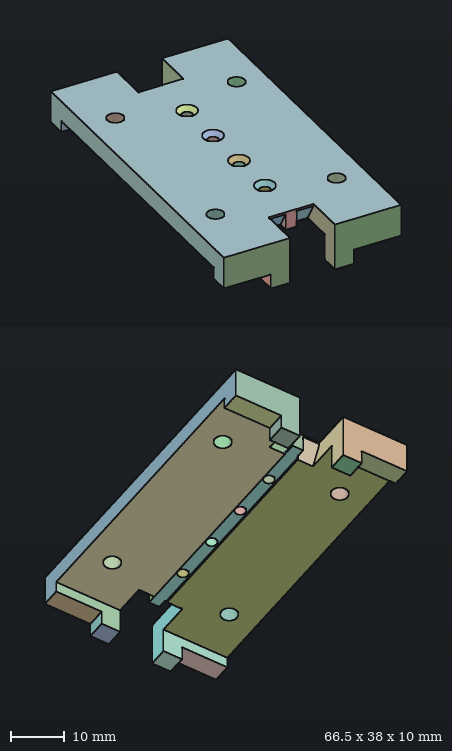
import cadquery as cq

length = 66.5
width = 38.0
height = 10.0

plate_thickness = 4.4
wall_thickness = 4.0
wall_height = 6.85
foot_width = 4.1

notch_depth = 8.25
notch_width = 9.6
tongue_width = 2.3
relief_lip = 0.45
relief_run = 2.25

channel_width = 2.8
channel_depth = 0.45

mount_diameter = 3.4
mount_spacing_x = 38.45
mount_spacing_y = 25.95
screw_diameter = 2.2
countersink_diameter = 4.1
countersink_angle = 90
screw_count = 4
screw_pitch = 10.0

notch_face_x = length / 2 - notch_depth


def block(size_x, size_y, size_z, x=0, y=0, top=0):
    """Box centred on (x, y), hanging down from the height 'top'."""
    return cq.Workplane("XY").box(size_x, size_y, size_z, centered=(True, True, False)).translate(
        (x, y, top - size_z)
    )


def relief(y_start):
    """Ramp cut rising from the plate underside to a thin lip at the +X notch face."""
    ramp_width = (notch_width - tongue_width) / 2
    return (
        cq.Workplane("XZ", origin=(0, y_start + ramp_width, 0))
        .moveTo(notch_face_x, -relief_lip)
        .lineTo(notch_face_x, -plate_thickness)
        .lineTo(notch_face_x - relief_run, -plate_thickness)
        .close()
        .extrude(ramp_width)
    )


body = block(length, width, plate_thickness)
for side in (-1, 1):
    wall_x = side * (length - wall_thickness) / 2
    body = body.union(block(wall_thickness, width, wall_height, wall_x))
    for foot_side in (-1, 1):
        foot_y = foot_side * (notch_width + foot_width) / 2
        body = body.union(block(wall_thickness, foot_width, height, wall_x, foot_y))

for side in (-1, 1):
    body = body.cut(block(notch_depth, notch_width, height, side * (length - notch_depth) / 2))
for y_start in (-notch_width / 2, tongue_width / 2):
    ramp = relief(y_start)
    body = body.cut(ramp).cut(ramp.mirror("YZ"))

channel_top = channel_depth - plate_thickness
body = body.cut(block(2 * notch_face_x, channel_width, channel_depth, top=channel_top))

result = (
    body.faces(">Z")
    .workplane(origin=(0, 0, 0))
    .rarray(mount_spacing_x, mount_spacing_y, 2, 2)
    .hole(mount_diameter)
    .faces(">Z")
    .workplane(origin=(0, 0, 0))
    .rarray(screw_pitch, 0.65, screw_count, 1)
    .cskHole(screw_diameter, countersink_diameter, countersink_angle)
)